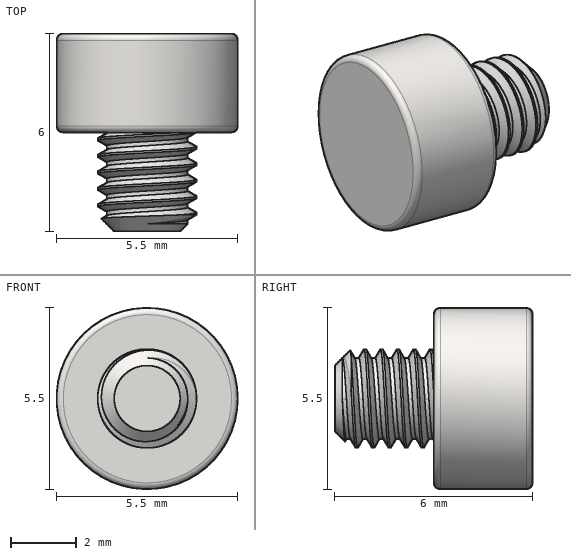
import cadquery as cq
import math

total_length = 6.0
head_length = total_length / 2
shank_length = total_length - head_length
head_diameter = 5.5
head_edge_radius = 0.2

crest_diameter = 3.0
pitch = total_length / 12
flank_angle = math.radians(30)
crest_radius = crest_diameter / 2
crest_width = pitch / 8
root_base_width = pitch * 3 / 4
thread_depth = (root_base_width - crest_width) / 2 / math.tan(flank_angle)
root_radius = crest_radius - thread_depth
root_overlap = 0.03
thread_start = -0.54
tip_radius = crest_radius * 2 / 3
trim_clearance = 0.12


def make_head():
    """Cylinder behind the seating face, with both rims rounded."""
    head = cq.Workplane("XY").circle(head_diameter / 2).extrude(-head_length)
    return head.edges().fillet(head_edge_radius)


def make_thread_ridge():
    """Right-handed ridge that runs past the tip; the tip cone trims it."""
    base_radius = root_radius - root_overlap
    half_base = root_base_width / 2 + root_overlap * math.tan(flank_angle)
    half_crest = crest_width / 2
    helix_length = shank_length - thread_start + pitch
    helix = cq.Wire.makeHelix(pitch, helix_length, base_radius)
    return (
        cq.Workplane("XZ")
        .moveTo(base_radius, -half_base)
        .lineTo(crest_radius, -half_crest)
        .lineTo(crest_radius, half_crest)
        .lineTo(base_radius, half_base)
        .close()
        .sweep(cq.Workplane(helix), isFrenet=True)
        .translate((0, 0, thread_start))
    )


def make_tip_envelope():
    """Body with a flat tip and a 45 degree cone, open to the thread elsewhere."""
    outer_radius = crest_radius + trim_clearance
    cone_start = shank_length - (outer_radius - tip_radius)
    return (
        cq.Workplane("XZ")
        .lineTo(outer_radius, 0)
        .lineTo(outer_radius, cone_start)
        .lineTo(tip_radius, shank_length)
        .lineTo(0, shank_length)
        .close()
        .revolve(360, (0, 0, 0), (0, 1, 0))
    )


core = cq.Workplane("XY").circle(root_radius).extrude(shank_length)
tip_envelope = make_tip_envelope()
trimmed_ridge = make_thread_ridge().intersect(tip_envelope)
shank = core.intersect(tip_envelope).union(trimmed_ridge)
screw = make_head().union(shank)

result = screw.rotate((0, 0, 0), (1, 0, 0), 90)